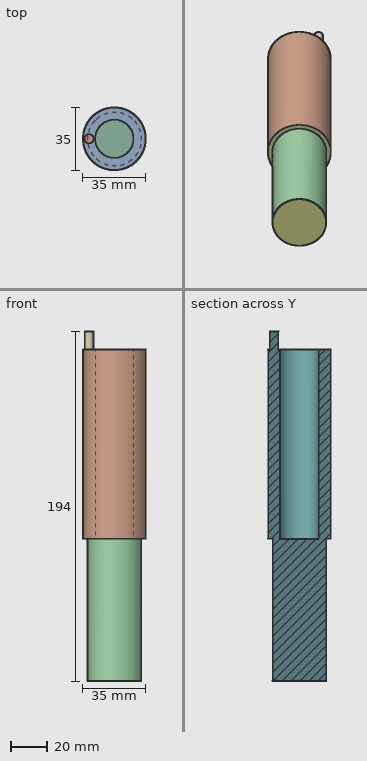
import cadquery as cq

body_diameter = 35.0
body_length = 105.0
shank_diameter = 30.0
shank_length = 79.0
edge_chamfer = 0.2
bore_diameter = 21.25
pin_diameter = 5.0
pin_height = 10.0
pin_offset = 14.0

bore_depth = body_length
body_top = shank_length + body_length


def make_cylinder(diameter, start_z, height):
    """Cylinder on the Z axis, rising from start_z (or sinking, if height is negative)."""
    return cq.Workplane("XY").workplane(offset=start_z).circle(diameter / 2).extrude(height)


def make_shank():
    """Narrow lower cylinder, with its bottom edge chamfered."""
    shank = make_cylinder(shank_diameter, 0, shank_length)
    return shank.faces("<Z").edges().chamfer(edge_chamfer)


def make_body():
    """Wider upper cylinder, with its top outer edge chamfered."""
    body = make_cylinder(body_diameter, shank_length, body_length)
    return body.faces(">Z").edges().chamfer(edge_chamfer)


def make_bore():
    """Material removed by the blind bore, sunk from the top face of the body."""
    return make_cylinder(bore_diameter, body_top, -bore_depth)


def make_pin():
    """Off-centre pin, standing on the annular top face."""
    return make_cylinder(pin_diameter, body_top, pin_height).translate((-pin_offset, 0, 0))


result = make_shank().union(make_body()).cut(make_bore()).union(make_pin())